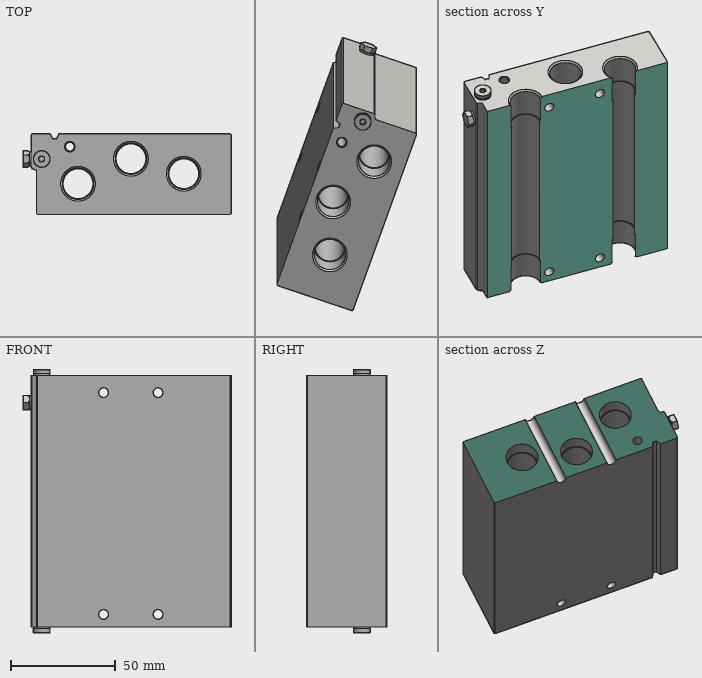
import cadquery as cq
import math

total_height = 125.5
depth = 38.5
right_x = 99.1

block_height = 120.0
base_z = (total_height - block_height) / 2
top_z = base_z + block_height
lip_x = 3.8
left_x = 6.3
lip_bottom_y = 22.0
lip_slope_drop = 0.9
lip_tip_chamfer = 0.5
edge_chamfer = 0.5
lip_root_radius = 0.8

groove_x = 14.9
groove_depth = 2.4
groove_top_width = 4.1
groove_bottom_width = 1.8

port_centers = [(26.1, 14.7), (51.3, 26.6), (76.5, 19.5)]
port_mouth_diameter = 16.6
port_bore_diameter = 14.9
port_core_diameter = 14.2
port_bore_depth = 15.0

pilot_center = (22.2, 32.4)
pilot_mouth_diameter = 5.0
pilot_diameter = 4.1

mount_diameter = 4.5
mount_xs = [38.3, 64.3]
mount_spacing_z = 105.7
mount_lower_z = 8.8
mount_zs = [mount_lower_z, mount_lower_z + mount_spacing_z]

hexagon_sides = 6
quarter_turn = 90.0

plug_center = (8.8, 26.5)
plug_head_diameter = 8.0
plug_neck_diameter = 7.8
plug_head_height = 2.0
plug_neck_height = base_z - plug_head_height
plug_socket_across_flats = 2.5
plug_socket_depth = 1.5
plug_edge_chamfer = 0.1

screw_y = plug_center[1]
screw_z = 109.7
screw_across_flats = 6.9
screw_head_length = 2.9
screw_neck_diameter = screw_across_flats
screw_bearing_diameter = 7.2
screw_corner_bevel = 0.8
screw_neck_length = lip_x - screw_head_length


def make_profile():
    """Extrude the outline of the block, lip included, and ease its upright edges."""
    corners = [(left_x, 0), (right_x, 0), (right_x, depth), (lip_x, depth)]
    lip_tip = (lip_x, lip_bottom_y)
    lip_root = (left_x, lip_bottom_y - lip_slope_drop)
    profile = (
        cq.Workplane("XY", origin=(0, 0, base_z))
        .polyline([*corners, lip_tip, lip_root])
        .close()
        .extrude(block_height)
    )
    for corner in corners:
        profile = upright_edge(profile, corner).chamfer(edge_chamfer)
    profile = upright_edge(profile, lip_tip).chamfer(lip_tip_chamfer)
    return upright_edge(profile, lip_root).fillet(lip_root_radius)


def upright_edge(body, corner):
    """Select the upright edge of the block that passes through an outline corner."""
    middle = (*corner, base_z + block_height / 2)
    return body.edges(cq.selectors.NearestToPointSelector(middle))


def make_groove():
    """Tapered groove cut into the back face over the whole height."""
    return (
        cq.Workplane("XY", origin=(groove_x, depth, base_z))
        .moveTo(-groove_top_width / 2, 0)
        .lineTo(-groove_bottom_width / 2, -groove_depth)
        .lineTo(groove_bottom_width / 2, -groove_depth)
        .lineTo(groove_top_width / 2, 0)
        .close()
        .extrude(block_height)
    )


def make_mouth(center, z, direction, mouth_diameter, bore_diameter):
    """45 degree countersink, narrowing from the mouth at z along direction."""
    mouth_radius = mouth_diameter / 2
    bore_radius = bore_diameter / 2
    return cq.Workplane(
        cq.Solid.makeCone(
            mouth_radius,
            bore_radius,
            mouth_radius - bore_radius,
            cq.Vector(center[0], center[1], z),
            cq.Vector(0, 0, direction),
        )
    )


def make_bore(center, z, diameter, length):
    """Upright cylinder from z upward."""
    return cq.Workplane("XY", origin=(*center, z)).circle(diameter / 2).extrude(length)


def make_mount_hole(x, z):
    """Cylinder through the block from front to back."""
    return cq.Workplane("XZ", origin=(x, 0, z)).circle(mount_diameter / 2).extrude(-depth)


def make_block():
    """Block with its groove, ports and mounting holes."""
    body = make_profile().cut(make_groove())
    for center in port_centers:
        body = body.cut(make_bore(center, base_z, port_core_diameter, block_height))
        for bore_z in (base_z, top_z - port_bore_depth):
            body = body.cut(make_bore(center, bore_z, port_bore_diameter, port_bore_depth))
        for end_z, inward in ((base_z, 1), (top_z, -1)):
            body = body.cut(make_mouth(center, end_z, inward, port_mouth_diameter, port_bore_diameter))
    body = body.cut(make_bore(pilot_center, base_z, pilot_diameter, block_height))
    for end_z, inward in ((base_z, 1), (top_z, -1)):
        body = body.cut(make_mouth(pilot_center, end_z, inward, pilot_mouth_diameter, pilot_diameter))
    for x in mount_xs:
        for z in mount_zs:
            body = body.cut(make_mount_hole(x, z))
    return body


def across_corners(across_flats):
    """Corner-to-corner width of a regular hexagon."""
    return across_flats / math.cos(math.pi / hexagon_sides)


def make_plug(seat_z, direction):
    """Round plug with a hexagon socket, seated on an end face and standing out along direction."""
    seat = cq.Plane(origin=(*plug_center, seat_z), normal=(0, 0, direction))
    neck = cq.Workplane(seat).circle(plug_neck_diameter / 2).extrude(plug_neck_height)
    head = (
        cq.Workplane(seat)
        .workplane(offset=plug_neck_height)
        .circle(plug_head_diameter / 2)
        .extrude(plug_head_height)
        .faces(cq.selectors.DirectionMinMaxSelector(cq.Vector(0, 0, direction)))
        .chamfer(plug_edge_chamfer)
    )
    socket = (
        cq.Workplane(seat)
        .workplane(offset=base_z)
        .transformed(rotate=(0, 0, quarter_turn))
        .polygon(hexagon_sides, across_corners(plug_socket_across_flats))
        .extrude(-plug_socket_depth)
    )
    countersink = make_mouth(
        plug_center,
        seat_z + direction * base_z,
        -direction,
        across_corners(plug_socket_across_flats),
        plug_socket_across_flats,
    )
    return neck.union(head).cut(socket).cut(countersink)


def make_screw():
    """Hexagon head, bevelled at the back, with a round neck seated on the lip; two flats are level."""
    corner_diameter = across_corners(screw_across_flats)
    base = cq.Workplane("YZ", origin=(0, screw_y, screw_z))
    head = base.polygon(hexagon_sides, corner_diameter).extrude(screw_head_length)
    barrel = (
        base.circle(corner_diameter / 2)
        .extrude(screw_head_length - screw_corner_bevel)
        .faces(">X")
        .workplane()
        .circle(corner_diameter / 2)
        .workplane(offset=screw_corner_bevel)
        .circle(screw_bearing_diameter / 2)
        .loft(combine=True)
    )
    head = head.intersect(barrel)
    neck = (
        base.workplane(offset=screw_head_length)
        .circle(screw_neck_diameter / 2)
        .extrude(screw_neck_length)
    )
    return head.union(neck)


block = make_block()
plugs = [make_plug(seat_z, direction) for seat_z, direction in ((base_z, -1), (top_z, 1))]
screw = make_screw()

result = cq.Compound.makeCompound([block.val(), *[plug.val() for plug in plugs], screw.val()])